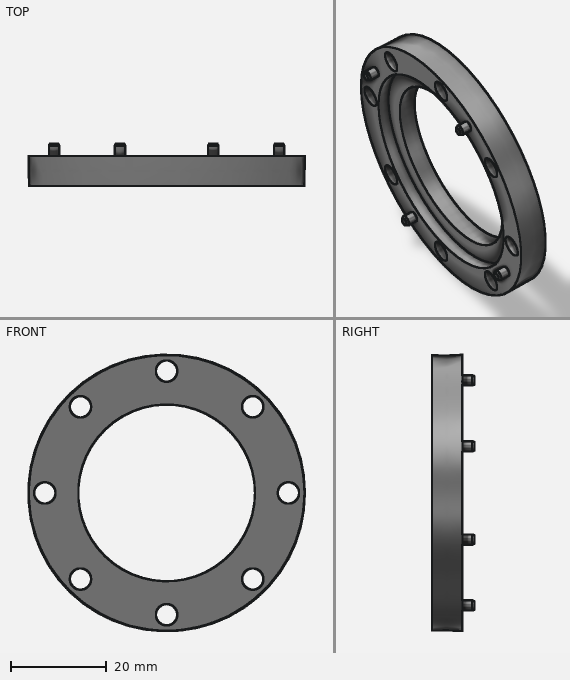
import cadquery as cq
import math

FULL_TURN = 360

outer_diameter = 57.7
bore_diameter = 36.8
ring_thickness = 6.35
recess_diameter = 45.0
recess_depth = 2.54
rim_draft = 1.0

hole_count = 8
hole_diameter = 4.4
pin_count = 4
pin_diameter = 2.2
pin_length = 2.54
tip_chamfer_length = 0.5
tip_chamfer_width = 0.25
circle_radius = 25.4
first_pin_angle = FULL_TURN / hole_count / 2

front_radius = outer_diameter / 2 - ring_thickness * math.tan(math.radians(rim_draft))


def circle_points(count, first_angle):
    """Evenly spaced (X, Z) points on the shared circle."""
    angles = [math.radians(first_angle + i * FULL_TURN / count) for i in range(count)]
    return [(circle_radius * math.cos(a), circle_radius * math.sin(a)) for a in angles]


def make_ring():
    """Ring with a drafted rim and a bore that steps out to the recess, turned about the Y axis."""
    bore_radius = bore_diameter / 2
    recess_radius = recess_diameter / 2
    recess_floor = ring_thickness - recess_depth
    section = (
        cq.Workplane("XY")
        .moveTo(bore_radius, 0)
        .lineTo(front_radius, 0)
        .lineTo(outer_diameter / 2, ring_thickness)
        .lineTo(recess_radius, ring_thickness)
        .lineTo(recess_radius, recess_floor)
        .lineTo(bore_radius, recess_floor)
        .close()
    )
    return section.revolve(FULL_TURN, (0, 0, 0), (0, 1, 0))


def make_holes():
    """Cutters for the ring of through holes."""
    return (
        cq.Workplane("XZ")
        .pushPoints(circle_points(hole_count, 0))
        .circle(hole_diameter / 2)
        .extrude(-ring_thickness)
    )


def make_pins():
    """Pins with tapered tips, standing on the back face."""
    pin_radius = pin_diameter / 2
    tip_radius = pin_radius - tip_chamfer_width
    shoulder = pin_length - tip_chamfer_length
    profile = (
        cq.Workplane("XY")
        .lineTo(pin_radius, 0)
        .lineTo(pin_radius, shoulder)
        .lineTo(tip_radius, pin_length)
        .lineTo(0, pin_length)
        .close()
    )
    pin = profile.revolve(FULL_TURN, (0, 0, 0), (0, 1, 0))
    base_points = circle_points(pin_count, first_pin_angle)
    pins = [pin.val().translate((x, ring_thickness, z)) for x, z in base_points]
    return cq.Workplane("XY").newObject(pins).combine()


result = make_ring().cut(make_holes()).union(make_pins())